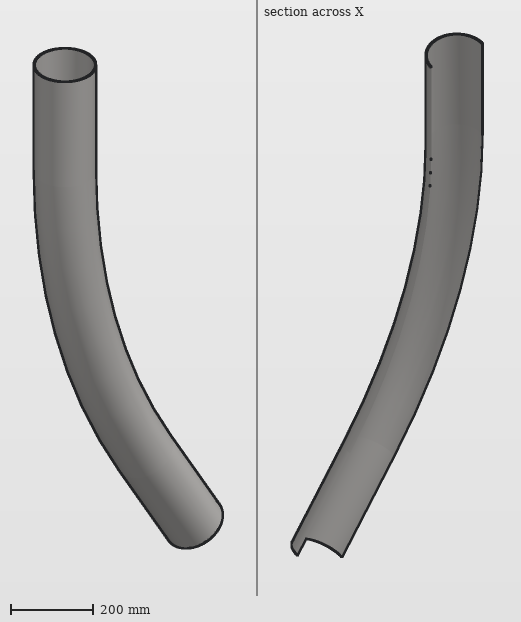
import cadquery as cq
import math

OUTER_DIAMETER = 152.4
WALL_THICKNESS = 3.048
INNER_DIAMETER = OUTER_DIAMETER - 2 * WALL_THICKNESS

LEG_LENGTH = 304.8
BEND_RADIUS = 1828.8
BEND_ANGLE = 30.0


def bend_point(angle_degrees):
    """Return the (Y, Z) centreline point after turning through the given angle."""
    angle = math.radians(angle_degrees)
    y = BEND_RADIUS * (1 - math.cos(angle))
    z = -BEND_RADIUS * math.sin(angle)
    return y, z


def make_centreline():
    """Run down the vertical leg, round the bend towards +Y, then along the sloping leg."""
    bend_end = bend_point(BEND_ANGLE)
    slope = math.radians(BEND_ANGLE)
    lower_end = (
        bend_end[0] + LEG_LENGTH * math.sin(slope),
        bend_end[1] - LEG_LENGTH * math.cos(slope),
    )
    return (
        cq.Workplane("YZ")
        .moveTo(0, LEG_LENGTH)
        .lineTo(0, 0)
        .threePointArc(bend_point(BEND_ANGLE / 2), bend_end)
        .lineTo(*lower_end)
    )


def make_pipe():
    """Sweep the ring-shaped pipe section along the centreline; both ends stay open."""
    return (
        cq.Workplane("XY", origin=(0, 0, LEG_LENGTH))
        .circle(OUTER_DIAMETER / 2)
        .circle(INNER_DIAMETER / 2)
        .sweep(make_centreline())
    )


result = make_pipe()